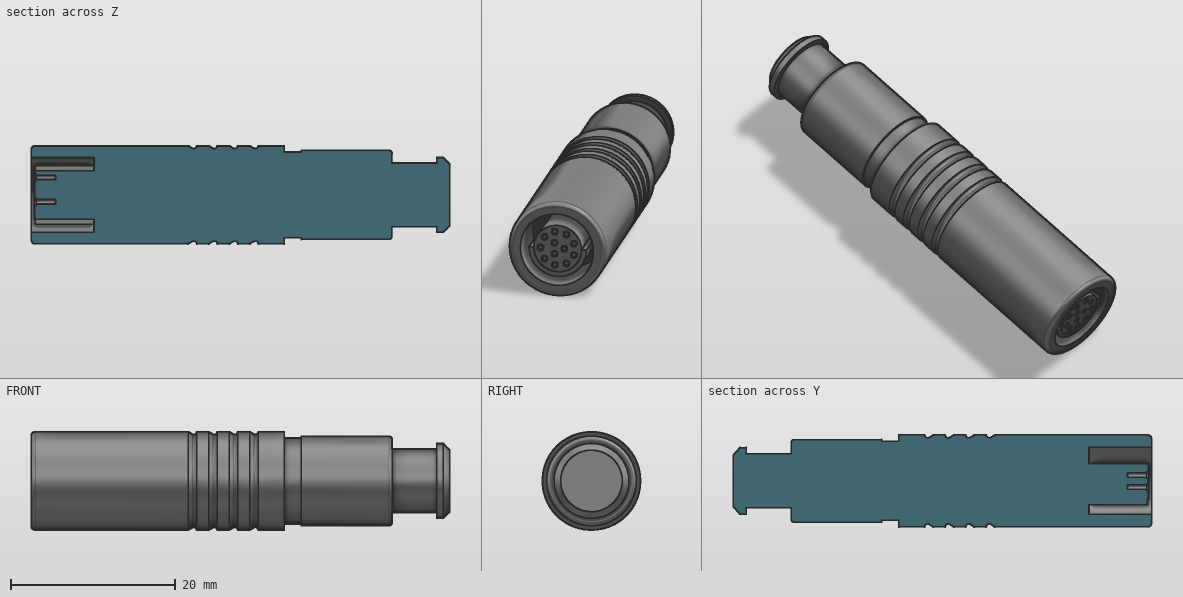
import cadquery as cq
import math

LENGTH = 51.0
SHELL_DIAMETER = 12.0
SHELL_END = 30.85
NOSE_FILLET = 0.5

GROOVE_COUNT = 4
FIRST_GROOVE_START = 19.1
GROOVE_PITCH = 2.5
GROOVE_WIDTH = 1.0
GROOVE_RAMP_LENGTH = 0.5
GROOVE_RAMP_ANGLE = 30.0

NECK_DIAMETER = 10.5
COLLAR_START = 32.9
COLLAR_DIAMETER = 10.9
COLLAR_END = 43.95
COLLAR_FILLET = 0.4
STEM_DIAMETER = 7.8
FLANGE_START = 49.35
FLANGE_DIAMETER = 9.15
FLANGE_CHAMFER = 0.8

SOCKET_DIAMETER = 9.1
SOCKET_DEPTH = 7.65
INSERT_DIAMETER = 5.9
KEY_DIAMETER = 7.15
INSERT_SETBACK = 0.4
KEY_SETBACK = 0.1

OUTER_CONTACT_COUNT = 9
OUTER_CONTACT_RADIUS = 2.15
OUTER_CONTACT_ANGLE = 0.0
INNER_CONTACT_COUNT = 3
INNER_CONTACT_RADIUS = 0.8
INNER_CONTACT_ANGLE = 180.0
CONTACT_DIAMETER = 0.75
CONTACT_BORE = 0.5
CONTACT_RECESS = 0.2
CONTACT_BORE_DEPTH = 2.55


def rod(diameter, start, end):
    """Solid cylinder on the connector axis between two X positions."""
    return cq.Workplane("YZ", origin=(start, 0, 0)).circle(diameter / 2).extrude(end - start)


def make_shell():
    """Front barrel, rounded at the mating face."""
    return rod(SHELL_DIAMETER, 0, SHELL_END).faces("<X").edges().fillet(NOSE_FILLET)


def make_rear():
    """Neck, rounded collar, stem and chamfered end flange behind the shell."""
    neck = rod(NECK_DIAMETER, SHELL_END, COLLAR_START)
    collar = rod(COLLAR_DIAMETER, COLLAR_START, COLLAR_END)
    collar = collar.faces(">X").edges().fillet(COLLAR_FILLET)
    stem = rod(STEM_DIAMETER, COLLAR_END, FLANGE_START)
    flange = rod(FLANGE_DIAMETER, FLANGE_START, LENGTH)
    flange = flange.faces(">X").edges().chamfer(FLANGE_CHAMFER)
    return neck.union(collar).union(stem).union(flange)


def make_groove(start):
    """Ring cutter: a shallow ramp running tangentially into a round floor that climbs back to the rim."""
    rim = SHELL_DIAMETER / 2
    ramp_drop = GROOVE_RAMP_LENGTH * math.tan(math.radians(GROOVE_RAMP_ANGLE))
    return (
        cq.Workplane("XY")
        .moveTo(start, rim)
        .lineTo(start + GROOVE_RAMP_LENGTH, rim - ramp_drop)
        .tangentArcPoint((start + GROOVE_WIDTH, rim), relative=False)
        .close()
        .revolve(360, (0, 0, 0), (1, 0, 0))
    )


def make_insert():
    """Contact carrier: a full cylinder with a wider, slightly set back key around its lower half."""
    core = rod(INSERT_DIAMETER, INSERT_SETBACK, SOCKET_DEPTH)
    upper_half = (
        cq.Workplane("XY")
        .rect(2 * SOCKET_DEPTH, KEY_DIAMETER)
        .extrude(KEY_DIAMETER)
    )
    key = rod(KEY_DIAMETER, INSERT_SETBACK + KEY_SETBACK, SOCKET_DEPTH).cut(upper_half)
    return core.union(key)


def make_contact_ring(circle_radius, count, start_angle):
    """Counterbored holes, evenly spaced on a circle, entering the insert face."""
    face = cq.Workplane("YZ", origin=(INSERT_SETBACK, 0, 0))
    places = face.polarArray(circle_radius, start_angle, 360, count)
    recesses = places.circle(CONTACT_DIAMETER / 2).extrude(CONTACT_RECESS)
    bores = places.circle(CONTACT_BORE / 2).extrude(CONTACT_BORE_DEPTH)
    return recesses.union(bores)


result = make_shell().union(make_rear())
for index in range(GROOVE_COUNT):
    result = result.cut(make_groove(FIRST_GROOVE_START + index * GROOVE_PITCH))

result = result.cut(rod(SOCKET_DIAMETER, 0, SOCKET_DEPTH))
result = result.union(make_insert())
result = result.cut(make_contact_ring(OUTER_CONTACT_RADIUS, OUTER_CONTACT_COUNT, OUTER_CONTACT_ANGLE))
result = result.cut(make_contact_ring(INNER_CONTACT_RADIUS, INNER_CONTACT_COUNT, INNER_CONTACT_ANGLE))